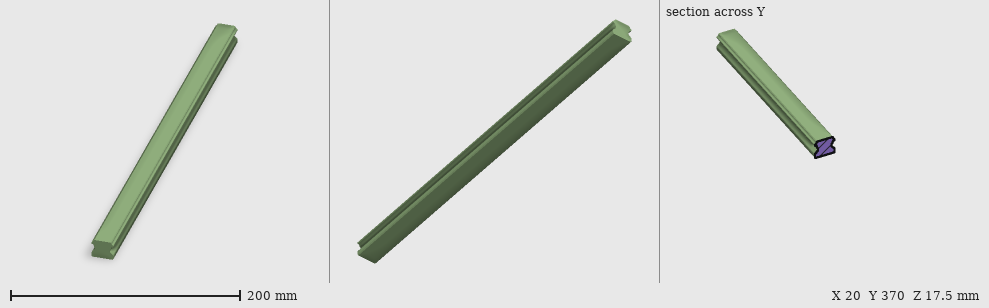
import cadquery as cq

length = 370.0
width = 20.0
height = 17.5
half_width = width / 2

base_chamfer = 0.92
foot_side_top = 4.0
shoulder_inset = 0.5
shoulder_top = 4.8

waist_inset = 3.5
waist_bottom = 7.8
waist_top = 9.5

lower_groove_start = (half_width - 2.2, 10.7)
lower_groove_middle = (half_width - 2.0, 12.2)
lower_groove_end = (half_width - 0.5, 13.0)

nose_bottom = 13.5
nose_top = 14.5

upper_groove_start = (half_width - 0.5, 14.8)
upper_groove_middle = (half_width - 1.5, 15.5)
upper_groove_end = (half_width - 2.0, 16.5)

crown_inset = 2.5


def half_section():
    """Right half of the cross-section, from the centre line outwards."""
    return (
        cq.Workplane("XZ")
        .lineTo(half_width - base_chamfer, 0)
        .lineTo(half_width, base_chamfer)
        .lineTo(half_width, foot_side_top)
        .lineTo(half_width - shoulder_inset, shoulder_top)
        .lineTo(half_width - waist_inset, waist_bottom)
        .lineTo(half_width - waist_inset, waist_top)
        .lineTo(*lower_groove_start)
        .threePointArc(lower_groove_middle, lower_groove_end)
        .lineTo(half_width, nose_bottom)
        .lineTo(half_width, nose_top)
        .lineTo(*upper_groove_start)
        .threePointArc(upper_groove_middle, upper_groove_end)
        .lineTo(half_width - crown_inset, height)
        .lineTo(0, height)
        .close()
    )


right_half = half_section().extrude(length / 2, both=True)
left_half = right_half.mirror("YZ")
result = right_half.union(left_half).clean()